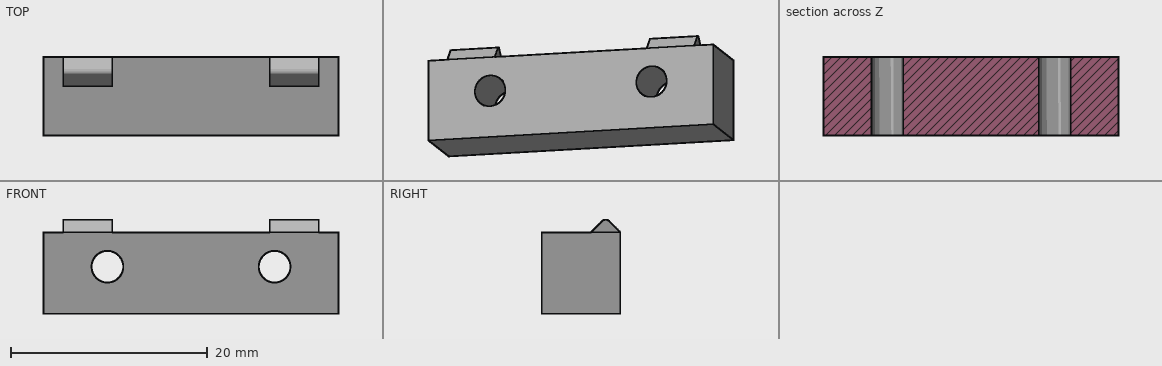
import cadquery as cq

length = 30.0
depth = 8.0
height = 8.3

hole_diameter = 3.2
hole_spacing = 17.0
hole_height = 4.8

tooth_length = 5.0
tooth_base = 3.0
tooth_rise = tooth_base / 2
crest_radius = 0.5
end_margin = 2.0
tooth_starts = (end_margin, length - end_margin - tooth_length)


def make_block():
    """Plain block with one corner at the origin."""
    return cq.Workplane("XY").box(length, depth, height, centered=False)


def make_holes():
    """Two cylinders running along Y through the whole block."""
    first_x = (length - hole_spacing) / 2
    return (
        cq.Workplane("XZ")
        .pushPoints([(first_x, hole_height), (first_x + hole_spacing, hole_height)])
        .circle(hole_diameter / 2)
        .extrude(-depth)
    )


def make_tooth(start_x):
    """Triangular ridge on the top face, flush with the back face."""
    ridge = (
        cq.Workplane("YZ", origin=(start_x, 0, 0))
        .moveTo(depth - tooth_base, height)
        .lineTo(depth, height)
        .lineTo(depth - tooth_base / 2, height + tooth_rise)
        .close()
        .extrude(tooth_length)
    )
    return ridge.edges("|X and >Z").fillet(crest_radius)


result = make_block().cut(make_holes())
for tooth_start in tooth_starts:
    result = result.union(make_tooth(tooth_start))